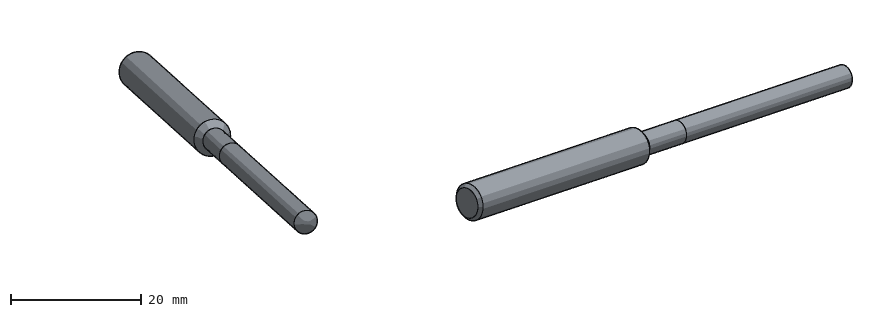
import cadquery as cq
import math

overall_length = 81.0
shank_diameter = 6.0
cutter_diameter = 3.8
neck_diameter = cutter_diameter
shank_end_chamfer = 0.6
shoulder_start = 36.05
cutter_start = 44.95
point_angle = 140.0

shank_radius = shank_diameter / 2
neck_radius = neck_diameter / 2
cutter_radius = cutter_diameter / 2
shoulder_length = shank_radius - neck_radius
shoulder_end = shoulder_start + shoulder_length
point_length = cutter_radius / math.tan(math.radians(point_angle / 2))
point_start = overall_length - point_length


def revolve_about_x(profile):
    """Turn a closed half profile of (x, radius) points about the X axis."""
    return cq.Workplane("XY").polyline(profile).close().revolve(360, (0, 0, 0), (1, 0, 0))


def make_shank():
    """Chamfered shank with a conical shoulder down to the neck."""
    return revolve_about_x([
        (0, 0),
        (0, shank_radius - shank_end_chamfer),
        (shank_end_chamfer, shank_radius),
        (shoulder_start, shank_radius),
        (shoulder_end, neck_radius),
        (cutter_start, neck_radius),
        (cutter_start, 0),
    ])


def make_cutter():
    """Cylindrical cutter with a conical point, butted against the neck."""
    return revolve_about_x([
        (cutter_start, 0),
        (cutter_start, cutter_radius),
        (point_start, cutter_radius),
        (overall_length, 0),
    ])


shank = make_shank()
cutter = make_cutter()

result = cq.Compound.makeCompound([shank.val(), cutter.val()])